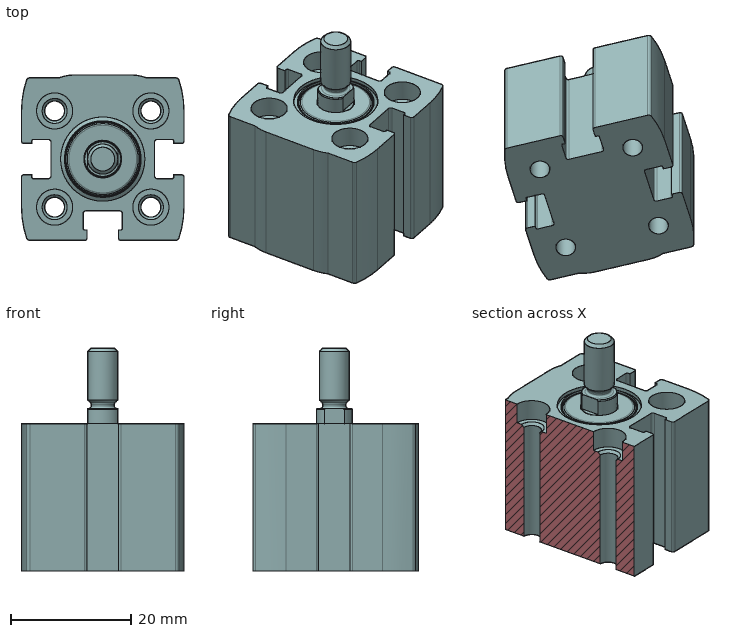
import cadquery as cq
import math


TOTAL_HEIGHT = 37.0
HOUSING_HEIGHT = 24.5
HALF_WIDTH = 13.5
BUMP_TOP_Y = 14.0

FLANK_HALF_LENGTH = 8.0
FLANK_ARC_RADIUS = 16.0
CORNER_FILLET = 0.6
BUMP_FLAT_HALF_WIDTH = 4.7
BUMP_ARC_RADIUS = 7.03

SLOT_MOUTH_WIDTH = 5.18
SLOT_INNER_WIDTH = 6.48
SLOT_DEPTH = 4.9
SLOT_LIP_THICKNESS = 1.75
MOUTH_FILLET = 0.4
SLOT_FLOOR_FILLET = 0.4
SLOT_LIP_FILLET = 0.25

HOLE_OFFSET = 8.0
HOLE_DIAMETER = 3.25
COUNTERBORE_DIAMETER = 6.0
COUNTERBORE_DEPTH = 3.5
HOLE_MOUTH_DIAMETER = 4.15

COVER_RECESS_RADIUS = 7.0
COVER_DEPTH = 0.3
COVER_FLAT_RADIUS = 5.62
COVER_BEVEL_RADIUS = 5.9
COVER_BEVEL_DROP = 0.07
COVER_EDGE_RADIUS = 6.1
COVER_EDGE_DROP = 0.2
GROOVE_INNER_RADIUS = 6.25
GROOVE_OUTER_RADIUS = 6.35
GROOVE_DEPTH = 0.65
RIM_TOP_DEPTH = 0.25
RIM_ANGLE = 30.0

ROD_DIAMETER = 6.0
ROD_INSERTION = 7.4
ROD_CLEARANCE_DIAMETER = 6.25
ROD_CLEARANCE_DEPTH = 0.5
SHOULDER_Z = 27.0
SHOULDER_CHAMFER_WIDTH = 0.1
SHOULDER_CHAMFER_HEIGHT = 0.22
NECK_DIAMETER = 3.9
NECK_FILLET = 0.4
THREAD_DIAMETER = 5.0
THREAD_LENGTH = 8.6
THREAD_END_ANGLE = 45.0
TIP_CHAMFER = 0.5
FLATS_WIDTH = 5.0
FLATS_ABOVE_COVER = 0.07
FLATS_CUT_OVERSHOOT = 0.37
FLATS_RUNOUT_ANGLE = 30.0


def housing_block():
    """Extruded outline with bowed flanks and a raised +Y side."""
    arc_rise = HALF_WIDTH - FLANK_HALF_LENGTH
    arc_center_x = HALF_WIDTH - FLANK_ARC_RADIUS

    def flank_x(rise):
        return arc_center_x + math.sqrt(FLANK_ARC_RADIUS**2 - rise**2)

    corner_x = flank_x(arc_rise)
    arc_mid = (flank_x(arc_rise / 2), FLANK_HALF_LENGTH + arc_rise / 2)

    bump_center_y = BUMP_TOP_Y - BUMP_ARC_RADIUS
    bump_run = math.sqrt(BUMP_ARC_RADIUS**2 - (HALF_WIDTH - bump_center_y) ** 2)
    bump_end_x = BUMP_FLAT_HALF_WIDTH + bump_run
    bump_mid = (
        BUMP_FLAT_HALF_WIDTH + bump_run / 2,
        bump_center_y + math.sqrt(BUMP_ARC_RADIUS**2 - (bump_run / 2) ** 2),
    )

    block = (
        cq.Workplane("XY")
        .moveTo(-corner_x, -HALF_WIDTH)
        .lineTo(corner_x, -HALF_WIDTH)
        .threePointArc((arc_mid[0], -arc_mid[1]), (HALF_WIDTH, -FLANK_HALF_LENGTH))
        .lineTo(HALF_WIDTH, FLANK_HALF_LENGTH)
        .threePointArc(arc_mid, (corner_x, HALF_WIDTH))
        .lineTo(bump_end_x, HALF_WIDTH)
        .threePointArc(bump_mid, (BUMP_FLAT_HALF_WIDTH, BUMP_TOP_Y))
        .lineTo(-BUMP_FLAT_HALF_WIDTH, BUMP_TOP_Y)
        .threePointArc((-bump_mid[0], bump_mid[1]), (-bump_end_x, HALF_WIDTH))
        .lineTo(-corner_x, HALF_WIDTH)
        .threePointArc((-arc_mid[0], arc_mid[1]), (-HALF_WIDTH, FLANK_HALF_LENGTH))
        .lineTo(-HALF_WIDTH, -FLANK_HALF_LENGTH)
        .threePointArc((-arc_mid[0], -arc_mid[1]), (-corner_x, -HALF_WIDTH))
        .close()
        .extrude(HOUSING_HEIGHT)
    )
    corner_points = [(sx * corner_x, sy * HALF_WIDTH) for sx in (-1, 1) for sy in (-1, 1)]
    for x, y in corner_points:
        corner = cq.selectors.NearestToPointSelector((x, y, HOUSING_HEIGHT / 2))
        block = block.edges(corner).fillet(CORNER_FILLET)
    return block


def t_slot_cutter():
    """Full-height T-slot opening through the -Y side, with a rounded mouth."""
    slot_floor_y = SLOT_DEPTH - HALF_WIDTH
    lip_y = SLOT_LIP_THICKNESS - HALF_WIDTH
    mouth_half = SLOT_MOUTH_WIDTH / 2
    chamber_length = SLOT_DEPTH - SLOT_LIP_THICKNESS
    chamber = (
        cq.Workplane("XY")
        .center(0, (slot_floor_y + lip_y) / 2)
        .rect(SLOT_INNER_WIDTH, chamber_length)
        .extrude(HOUSING_HEIGHT)
        .edges("|Z and >Y").fillet(SLOT_FLOOR_FILLET)
        .edges("|Z and <Y").fillet(SLOT_LIP_FILLET)
    )
    arc_offset = MOUTH_FILLET * (1 - math.sqrt(0.5))
    mouth = (
        cq.Workplane("XY")
        .moveTo(-mouth_half, lip_y)
        .lineTo(mouth_half, lip_y)
        .lineTo(mouth_half, -HALF_WIDTH + MOUTH_FILLET)
        .threePointArc(
            (mouth_half + arc_offset, -HALF_WIDTH + arc_offset),
            (mouth_half + MOUTH_FILLET, -HALF_WIDTH),
        )
        .lineTo(-mouth_half - MOUTH_FILLET, -HALF_WIDTH)
        .threePointArc(
            (-mouth_half - arc_offset, -HALF_WIDTH + arc_offset),
            (-mouth_half, -HALF_WIDTH + MOUTH_FILLET),
        )
        .close()
        .extrude(HOUSING_HEIGHT)
    )
    return chamber.union(mouth)


def mounting_hole_cutter():
    """Through hole with a counterbore from the top and a chamfer on its floor."""
    hole_radius = HOLE_DIAMETER / 2
    mouth_radius = HOLE_MOUTH_DIAMETER / 2
    counterbore_radius = COUNTERBORE_DIAMETER / 2
    floor_z = HOUSING_HEIGHT - COUNTERBORE_DEPTH
    profile = [
        (0, 0),
        (hole_radius, 0),
        (hole_radius, floor_z - (mouth_radius - hole_radius)),
        (mouth_radius, floor_z),
        (counterbore_radius, floor_z),
        (counterbore_radius, HOUSING_HEIGHT),
        (0, HOUSING_HEIGHT),
    ]
    return cq.Workplane("XZ").polyline(profile).close().revolve(360, (0, 0), (0, 1))


def cover_recess_cutter():
    """Stepped recess that leaves the rod cover, its ring groove and the rod bore."""
    cover_z = HOUSING_HEIGHT - COVER_DEPTH
    bevel_z = cover_z - COVER_BEVEL_DROP
    edge_z = bevel_z - COVER_EDGE_DROP
    groove_z = HOUSING_HEIGHT - GROOVE_DEPTH
    rim_z = HOUSING_HEIGHT - RIM_TOP_DEPTH
    rim_width = COVER_RECESS_RADIUS - GROOVE_OUTER_RADIUS
    rim_outer_z = rim_z - rim_width * math.tan(math.radians(RIM_ANGLE))
    clearance_z = cover_z - ROD_CLEARANCE_DEPTH
    rod_bottom_z = HOUSING_HEIGHT - ROD_INSERTION
    profile = [
        (0, rod_bottom_z),
        (ROD_DIAMETER / 2, rod_bottom_z),
        (ROD_DIAMETER / 2, clearance_z),
        (ROD_CLEARANCE_DIAMETER / 2, clearance_z),
        (ROD_CLEARANCE_DIAMETER / 2, cover_z),
        (COVER_FLAT_RADIUS, cover_z),
        (COVER_BEVEL_RADIUS, bevel_z),
        (COVER_EDGE_RADIUS, edge_z),
        (GROOVE_INNER_RADIUS, edge_z),
        (GROOVE_INNER_RADIUS, groove_z),
        (GROOVE_OUTER_RADIUS, groove_z),
        (GROOVE_OUTER_RADIUS, rim_z),
        (COVER_RECESS_RADIUS, rim_outer_z),
        (COVER_RECESS_RADIUS, HOUSING_HEIGHT),
        (0, HOUSING_HEIGHT),
    ]
    return cq.Workplane("XZ").polyline(profile).close().revolve(360, (0, 0), (0, 1))


def make_housing():
    """Block with three T-slots, four mounting holes and the rod cover."""
    housing = housing_block()
    slot = t_slot_cutter()
    for angle in (-90, 0, 90):
        housing = housing.cut(slot.rotate((0, 0, 0), (0, 0, 1), angle))
    hole = mounting_hole_cutter()
    for x in (-HOLE_OFFSET, HOLE_OFFSET):
        for y in (-HOLE_OFFSET, HOLE_OFFSET):
            housing = housing.cut(hole.translate((x, y, 0)))
    return housing.cut(cover_recess_cutter())


def flat_cutter():
    """Removes the +X side of the rod collar and runs out along a falling ledge."""
    flat_x = FLATS_WIDTH / 2
    flat_bottom_z = HOUSING_HEIGHT - COVER_DEPTH + FLATS_ABOVE_COVER
    outer_x = ROD_DIAMETER / 2 + FLATS_CUT_OVERSHOOT
    ledge_drop = (outer_x - flat_x) * math.tan(math.radians(FLATS_RUNOUT_ANGLE))
    profile = [
        (flat_x, flat_bottom_z),
        (outer_x, flat_bottom_z - ledge_drop),
        (outer_x, SHOULDER_Z),
        (flat_x, SHOULDER_Z),
    ]
    return cq.Workplane("XZ").polyline(profile).close().extrude(ROD_DIAMETER / 2, both=True)


def make_rod():
    """Turned rod: collar, filleted neck and chamfered thread, with two wrench flats."""
    rod_radius = ROD_DIAMETER / 2
    rod_bottom_z = HOUSING_HEIGHT - ROD_INSERTION
    neck_radius = NECK_DIAMETER / 2
    thread_radius = THREAD_DIAMETER / 2
    thread_bottom_z = TOTAL_HEIGHT - THREAD_LENGTH
    end_angle = math.radians(THREAD_END_ANGLE)
    neck_top_z = thread_bottom_z - (thread_radius - neck_radius) / math.tan(end_angle)
    blend_length = NECK_FILLET * math.tan(end_angle / 2)
    blend_start_z = neck_top_z - blend_length
    blend_mid = (
        neck_radius + NECK_FILLET * (1 - math.cos(end_angle / 2)),
        blend_start_z + NECK_FILLET * math.sin(end_angle / 2),
    )
    blend_end = (
        neck_radius + blend_length * math.sin(end_angle),
        neck_top_z + blend_length * math.cos(end_angle),
    )
    fillet_mid = NECK_FILLET * (1 - math.sqrt(0.5))

    rod = (
        cq.Workplane("XZ")
        .moveTo(0, rod_bottom_z)
        .lineTo(rod_radius, rod_bottom_z)
        .lineTo(rod_radius, SHOULDER_Z - SHOULDER_CHAMFER_HEIGHT)
        .lineTo(rod_radius - SHOULDER_CHAMFER_WIDTH, SHOULDER_Z)
        .lineTo(neck_radius + NECK_FILLET, SHOULDER_Z)
        .threePointArc(
            (neck_radius + fillet_mid, SHOULDER_Z + fillet_mid),
            (neck_radius, SHOULDER_Z + NECK_FILLET),
        )
        .lineTo(neck_radius, blend_start_z)
        .threePointArc(blend_mid, blend_end)
        .lineTo(thread_radius, thread_bottom_z)
        .lineTo(thread_radius, TOTAL_HEIGHT - TIP_CHAMFER)
        .lineTo(thread_radius - TIP_CHAMFER, TOTAL_HEIGHT)
        .lineTo(0, TOTAL_HEIGHT)
        .close()
        .revolve(360, (0, 0), (0, 1))
    )
    flat = flat_cutter()
    for angle in (0, 180):
        rod = rod.cut(flat.rotate((0, 0, 0), (0, 0, 1), angle))
    return rod


housing = make_housing()
rod = make_rod()

result = cq.Compound.makeCompound([housing.val(), rod.val()])